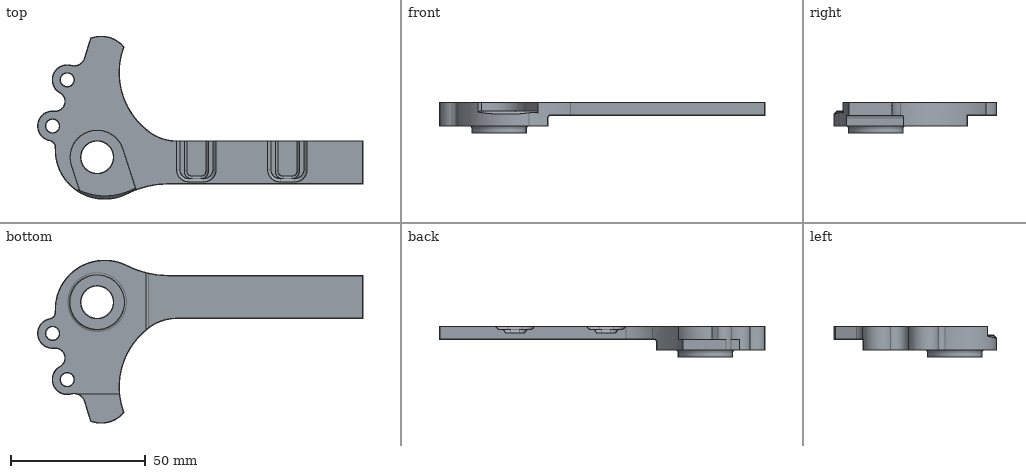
import cadquery as cq
import math


plate_thickness = 4.8
head_thickness = 8.8
total_height = 11.5

arm_end_x = 98.5
arm_back_y = 6.0
arm_front_y = -9.9
arm_blend_radius = 16.9

head_center = (2.8, 2.8)
head_radius = 18.3
neck_radius = 33.7
crescent_center = (35.4, 31.3)
crescent_radius = 27.2
tip_right_y = 40.9
tip_crown = (1.2, 44.8)
tip_left = (-2.4, 44.1)
head_step_x = 18.1
head_step_y = 34.0
head_step_fillet = 1.0

lower_lug = (-16.5, 11.6)
upper_lug = (-11.1, 28.7)
lug_radius = 5.5
lug_hole_diameter = 5.1
lug_blend_radius = 3.6
lug_head_blend_radius = 2.4
flank_blend_center = (-8.5, 38.0)
flank_lean = math.radians(21)

bore_diameter = 12.0
boss_radius = 10.1
boss_base_fillet = 0.7
recess_radius = 10.0
recess_depth = 3.3
recess_lean = 18.0
recess_length = 30.1
recess_mouth_y = -12.2

relief_center = (2.9, 9.2)
relief_radius = 23.5
relief_depth = 1.1

notch_positions = (36.8, 70.5)
notch_step_depth = 1.2
notch_outer_taper = 45
notch_inner_taper = 38
notch_outer_half_width = 7.4
notch_outer_corner = 4.7
notch_inner_half_width = 4.5
notch_inner_corner = 2.8
notch_front_wall = 0.7
notch_overrun = 3.6


def toward(start, end, distance):
    """Point at a distance from start along the direction to end."""
    ratio = distance / math.dist(start, end)
    return (start[0] + (end[0] - start[0]) * ratio, start[1] + (end[1] - start[1]) * ratio)


def blend_center(first, first_radius, second, second_radius, radius):
    """Center of an arc touching two circles, on the left going from first to second."""
    span = math.dist(first, second)
    first_reach = first_radius + radius
    second_reach = second_radius + radius
    along = (first_reach**2 - second_reach**2 + span**2) / (2 * span)
    aside = math.sqrt(first_reach**2 - along**2)
    foot = toward(first, second, along)
    return (
        foot[0] - aside * (second[1] - first[1]) / span,
        foot[1] + aside * (second[0] - first[0]) / span,
    )


def arc_middle(center, radius, start, end):
    """Middle of the shorter arc between two points on a circle."""
    chord_middle = ((start[0] + end[0]) / 2, (start[1] + end[1]) / 2)
    return toward(center, chord_middle, radius)


def make_outline():
    neck_y = arm_front_y - neck_radius
    neck_x = head_center[0] + math.sqrt((head_radius + neck_radius) ** 2 - (head_center[1] - neck_y) ** 2)
    neck_center = (neck_x, neck_y)
    neck_start = (neck_x, arm_front_y)
    neck_end = toward(head_center, neck_center, head_radius)

    head_blend = blend_center(head_center, head_radius, lower_lug, lug_radius, lug_head_blend_radius)
    head_end = toward(head_center, head_blend, head_radius)
    lower_start = toward(lower_lug, head_blend, lug_radius)
    lug_blend = blend_center(lower_lug, lug_radius, upper_lug, lug_radius, lug_blend_radius)
    lower_end = toward(lower_lug, lug_blend, lug_radius)
    upper_start = toward(upper_lug, lug_blend, lug_radius)

    upper_end = toward(upper_lug, flank_blend_center, lug_radius)
    flank_blend_radius = math.dist(upper_lug, flank_blend_center) - lug_radius
    flank_start = (
        flank_blend_center[0] + flank_blend_radius * math.cos(flank_lean),
        flank_blend_center[1] - flank_blend_radius * math.sin(flank_lean),
    )

    tip_rise = tip_right_y - crescent_center[1]
    tip_right = (crescent_center[0] - math.sqrt(crescent_radius**2 - tip_rise**2), tip_right_y)
    arm_drop = crescent_center[1] - arm_back_y
    crescent_end = (crescent_center[0] - math.sqrt(crescent_radius**2 - arm_drop**2), arm_back_y)

    outline = (
        cq.Workplane("XY")
        .moveTo(arm_end_x, arm_back_y)
        .lineTo(arm_end_x, arm_front_y)
        .lineTo(*neck_start)
        .threePointArc(arc_middle(neck_center, neck_radius, neck_start, neck_end), neck_end)
        .threePointArc(arc_middle(head_center, head_radius, neck_end, head_end), head_end)
        .threePointArc(arc_middle(head_blend, lug_head_blend_radius, head_end, lower_start), lower_start)
        .threePointArc((lower_lug[0] - lug_radius, lower_lug[1]), lower_end)
        .threePointArc(arc_middle(lug_blend, lug_blend_radius, lower_end, upper_start), upper_start)
        .threePointArc((upper_lug[0] - lug_radius, upper_lug[1]), upper_end)
        .threePointArc(arc_middle(flank_blend_center, flank_blend_radius, upper_end, flank_start), flank_start)
        .lineTo(*tip_left)
        .threePointArc(tip_crown, tip_right)
        .threePointArc(arc_middle(crescent_center, crescent_radius, tip_right, crescent_end), crescent_end)
        .close()
    )
    body = outline.extrude(-head_thickness)
    arm_corner = cq.selectors.NearestToPointSelector((*crescent_end, -head_thickness / 2))
    return body.edges(arm_corner).fillet(arm_blend_radius)


def thin_underside(body):
    """Reduce the arm and the tip to plate thickness, leaving the head thick."""
    size = 2 * arm_end_x
    depth = head_thickness - plate_thickness
    arm_cutter = (
        cq.Workplane("XY", origin=(head_step_x, 0, -head_thickness))
        .rect(size, size)
        .extrude(depth)
        .translate((size / 2, 0, 0))
        .edges("<X and >Z")
        .fillet(head_step_fillet)
    )
    tip_cutter = (
        cq.Workplane("XY", origin=(0, head_step_y + size / 2, -head_thickness))
        .rect(size, size)
        .extrude(depth)
    )
    return body.cut(arm_cutter).cut(tip_cutter)


def add_boss(body):
    """Round boss under the head with a concave fillet at its root."""
    root_z = -head_thickness
    flare_radius = boss_radius + boss_base_fillet
    fillet_inset = boss_base_fillet * (1 - math.sqrt(0.5))
    boss = (
        cq.Workplane("XZ")
        .moveTo(0, -total_height)
        .lineTo(boss_radius, -total_height)
        .lineTo(boss_radius, root_z - boss_base_fillet)
        .threePointArc((boss_radius + fillet_inset, root_z - fillet_inset), (flare_radius, root_z))
        .lineTo(flare_radius, -plate_thickness)
        .lineTo(0, -plate_thickness)
        .close()
        .revolve(360, (0, 0, 0), (0, 1, 0))
    )
    return body.union(boss)


def recess_cutter():
    slot = (
        cq.Workplane("XY")
        .moveTo(-recess_radius, 0)
        .threePointArc((0, recess_radius), (recess_radius, 0))
        .lineTo(recess_radius, -recess_length)
        .lineTo(-recess_radius, -recess_length)
        .close()
        .extrude(-recess_depth)
    )
    mouth_size = 2 * recess_length
    mouth = (
        cq.Workplane("XY", origin=(0, recess_mouth_y - recess_length, 0))
        .rect(mouth_size, mouth_size)
        .extrude(-recess_depth)
    )
    head_side = cq.Workplane("XY").circle(recess_length).extrude(-recess_depth)
    return slot.rotate((0, 0, 0), (0, 0, 1), recess_lean).union(mouth.intersect(head_side))


def relief_cutter():
    """Ring outside a 45 degree cone, limited to the front of the recess."""
    reach = 2 * relief_radius
    low_z = -recess_depth - relief_depth
    ring = (
        cq.Workplane("XZ")
        .polyline(
            [
                (relief_radius, -recess_depth),
                (reach, -recess_depth),
                (reach, low_z),
                (relief_radius + relief_depth, low_z),
            ]
        )
        .close()
        .revolve(360, (0, 0, 0), (0, 1, 0))
        .translate((*relief_center, 0))
    )
    return ring.intersect(recess_cutter().translate((0, 0, -relief_depth)))


def notch_pocket(x, half_width, front_y, corner, top_z, taper):
    """One tapered notch step, narrowing downward."""
    back_y = arm_back_y + notch_overrun + corner
    return (
        cq.Workplane("XY", origin=(x, (front_y + back_y) / 2, top_z))
        .sketch()
        .rect(2 * half_width, back_y - front_y)
        .vertices()
        .fillet(corner)
        .finalize()
        .extrude(-notch_step_depth, taper=taper)
    )


def notch_cutter(x):
    outer_front = arm_front_y + notch_front_wall
    inner_front = outer_front + notch_step_depth
    outer = notch_pocket(x, notch_outer_half_width, outer_front, notch_outer_corner, 0, notch_outer_taper)
    inner = notch_pocket(
        x,
        notch_inner_half_width,
        inner_front,
        notch_inner_corner,
        -notch_step_depth,
        notch_inner_taper,
    )
    return outer.union(inner)


result = add_boss(thin_underside(make_outline()))
result = result.cut(recess_cutter()).cut(relief_cutter())
for notch_x in notch_positions:
    result = result.cut(notch_cutter(notch_x))

bore = cq.Workplane("XY").circle(bore_diameter / 2).extrude(-total_height)
lug_holes = (
    cq.Workplane("XY")
    .pushPoints([lower_lug, upper_lug])
    .circle(lug_hole_diameter / 2)
    .extrude(-head_thickness)
)
result = result.cut(bore).cut(lug_holes)